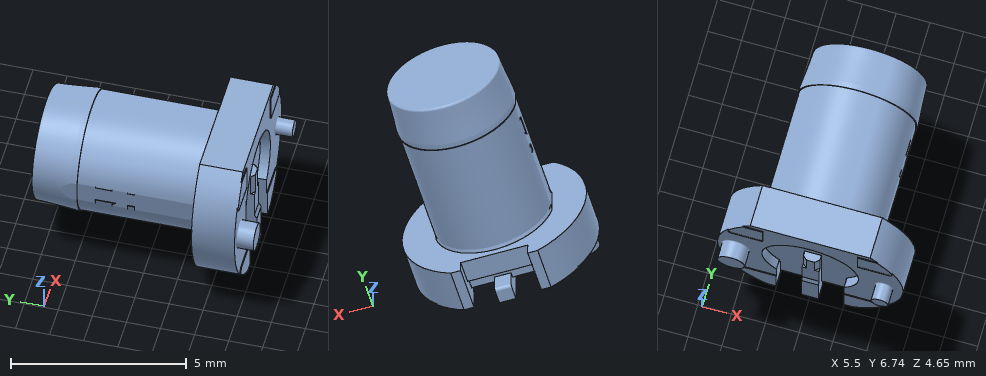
import cadquery as cq
import math


TOTAL_LENGTH = 6.74
TOTAL_HEIGHT = 4.65

FLANGE_RADIUS = 2.75
FLANGE_THICKNESS = 1.27
FLANGE_TOP = 2.1
FLANGE_BOTTOM = -2.425

RECESS_RADIUS = 1.43
RECESS_DEPTH = 0.295
SLOT_HALF_WIDTH = 1.0
SLOT_FLOOR_BOTTOM = -1.89
SLOT_LEDGE_BOTTOM = -2.0
LEDGE_DEPTH = 0.605
GAP_WIDTH = 0.03
GAP_TOP = -1.19

PAD_HEIGHT = 0.03
PAD_CORNER = 0.12
UPPER_PAD_INNER = 1.4
UPPER_PAD_OUTER = 2.425
UPPER_PAD_TOP = 1.9
UPPER_PAD_BOTTOM = 1.105
LOWER_PAD_OUTER = 2.11
LOWER_PAD_TOP = -1.55

PIN_OFFSET = 2.2
PIN_LENGTH = 0.51
LARGE_PIN_DIAMETER = 0.81
SMALL_PIN_DIAMETER = 0.505
PIN_FILLET = 0.04

BARREL_END = TOTAL_LENGTH - PIN_LENGTH
BARREL_RADIUS = 1.75
BASE_RADIUS = 1.78
BASE_LENGTH = 0.095
HEAD_RADIUS = 1.78
HEAD_MID_RADIUS = 1.725
HEAD_END_RADIUS = 1.69
HEAD_LENGTH = 1.355
HEAD_TAPER_LENGTH = 1.19
END_ROUND = 0.08

FLAT_HALF_WIDTH = 0.325
BARREL_FLAT_OFFSET = math.sqrt(BARREL_RADIUS**2 - FLAT_HALF_WIDTH**2)
HEAD_FLAT_OFFSET = math.sqrt(HEAD_RADIUS**2 - FLAT_HALF_WIDTH**2)
CUT_MARGIN = 0.07
FLAT_CUT_OUTER = HEAD_RADIUS + CUT_MARGIN
LOWER_LUG_TOP = -0.18
UPPER_LUG_BOTTOM = 0.295
LONG_LUG_START = 3.855
LONG_LUG_END = 4.34
LONG_LUG_LIP = 0.1
LUG_LIP_BOTTOM = -0.255
SHORT_LUG_START = 3.19
SHORT_LUG_END = 3.4

TAIL_WIDTH = 0.5
TAIL_TOP = 0.32
TAIL_BOTTOM = FLANGE_TOP - TOTAL_HEIGHT
TAIL_UPPER_FRONT = 0.05
TAIL_STEP_TOP = -1.22
TAIL_STEP_BOTTOM = -1.34
TAIL_BACK = 0.45
TAIL_HEEL_RADIUS = 0.11
TAIL_CHAMFER_WIDTH = 0.13
TAIL_CHAMFER_DEPTH = 0.11
TAIL_CHAMFER_END = -0.38


def block(x_range, y_range, z_range):
    """Axis-aligned box given by its lower and upper limits."""
    (x0, x1), (y0, y1), (z0, z1) = x_range, y_range, z_range
    return cq.Workplane("XY").box(x1 - x0, y1 - y0, z1 - z0, centered=False).translate((x0, y0, z0))


def cylinder(radius, y_range, x=0.0):
    """Cylinder along Y, centred on Z = 0."""
    start, end = y_range
    return cq.Workplane("XZ", origin=(x, start, 0)).circle(radius).extrude(start - end)


def both_sides(body):
    """The body together with its mirror image across X = 0."""
    return body.union(body.mirror("YZ"))


def clipped_disc(y_range):
    limits = block((-FLANGE_RADIUS, FLANGE_RADIUS), y_range, (FLANGE_BOTTOM, FLANGE_TOP))
    return cylinder(FLANGE_RADIUS, y_range).intersect(limits)


def flange():
    body = clipped_disc((0, FLANGE_THICKNESS))
    slot = (-SLOT_HALF_WIDTH, SLOT_HALF_WIDTH)
    body = body.cut(cylinder(RECESS_RADIUS, (0, RECESS_DEPTH)))
    body = body.cut(block(slot, (0, RECESS_DEPTH), (FLANGE_BOTTOM, 0)))
    body = body.cut(block(slot, (0, LEDGE_DEPTH), (FLANGE_BOTTOM, SLOT_FLOOR_BOTTOM)))
    body = body.cut(block(slot, (0, FLANGE_THICKNESS), (FLANGE_BOTTOM, SLOT_LEDGE_BOTTOM)))
    gap = block(
        (SLOT_HALF_WIDTH - GAP_WIDTH, SLOT_HALF_WIDTH),
        (0, LEDGE_DEPTH),
        (FLANGE_BOTTOM, GAP_TOP),
    )
    return body.cut(both_sides(gap))


def pads():
    height = (-PAD_HEIGHT, 0)
    upper = block((UPPER_PAD_INNER, UPPER_PAD_OUTER), height, (UPPER_PAD_BOTTOM, UPPER_PAD_TOP))
    upper = upper.edges("|Y and >X and <Z").fillet(PAD_CORNER)
    lower = block((SLOT_HALF_WIDTH, LOWER_PAD_OUTER), height, (FLANGE_BOTTOM, LOWER_PAD_TOP))
    lower = lower.edges("|Y and >X and >Z").fillet(PAD_CORNER)
    return both_sides(upper.union(lower)).intersect(clipped_disc(height))


def pin(diameter, x):
    """Pin with a concave fillet where it meets the mounting face."""
    radius = diameter / 2
    diagonal = PIN_FILLET * (1 - math.sqrt(0.5))
    profile = (
        cq.Workplane("XY")
        .lineTo(radius + PIN_FILLET, 0)
        .threePointArc((radius + diagonal, -diagonal), (radius, -PIN_FILLET))
        .lineTo(radius, -PIN_LENGTH)
        .lineTo(0, -PIN_LENGTH)
        .close()
    )
    return profile.revolve(360, (0, 0, 0), (0, 1, 0)).translate((x, 0, 0))


def barrel():
    taper_start = BARREL_END - HEAD_TAPER_LENGTH
    taper_mid = BARREL_END - HEAD_TAPER_LENGTH / 2
    base_end = FLANGE_THICKNESS + BASE_LENGTH
    head_start = BARREL_END - HEAD_LENGTH
    profile = (
        cq.Workplane("XY")
        .moveTo(0, FLANGE_THICKNESS)
        .lineTo(BASE_RADIUS, FLANGE_THICKNESS)
        .lineTo(BARREL_RADIUS, base_end)
        .lineTo(BARREL_RADIUS, head_start)
        .lineTo(HEAD_RADIUS, head_start)
        .lineTo(HEAD_RADIUS, taper_start)
        .threePointArc((HEAD_MID_RADIUS, taper_mid), (HEAD_END_RADIUS, BARREL_END))
        .lineTo(0, BARREL_END)
        .close()
    )
    body = profile.revolve(360, (0, 0, 0), (0, 1, 0))
    return body.faces(">Y").edges().fillet(END_ROUND)


def side_flat():
    """Material to remove for the flats on the +X side, spared around the lugs."""
    head_start = BARREL_END - HEAD_LENGTH
    depth = (BARREL_FLAT_OFFSET, FLAT_CUT_OUTER)
    full_height = (-BARREL_RADIUS, BARREL_RADIUS)
    flat = block(depth, (FLANGE_THICKNESS, head_start), full_height)
    for lug in ((LONG_LUG_START, LONG_LUG_END), (SHORT_LUG_START, SHORT_LUG_END)):
        flat = flat.cut(block(depth, lug, (-BARREL_RADIUS, LOWER_LUG_TOP)))
        flat = flat.cut(block(depth, lug, (UPPER_LUG_BOTTOM, BARREL_RADIUS)))
    lip = (
        cq.Workplane("YZ", origin=(BARREL_FLAT_OFFSET, 0, 0))
        .moveTo(LONG_LUG_START, LUG_LIP_BOTTOM)
        .lineTo(LONG_LUG_START, LOWER_LUG_TOP)
        .lineTo(LONG_LUG_START - LONG_LUG_LIP, LOWER_LUG_TOP)
        .close()
        .extrude(FLAT_CUT_OUTER - BARREL_FLAT_OFFSET)
    )
    head_flat = block((HEAD_FLAT_OFFSET, FLAT_CUT_OUTER), (head_start, BARREL_END), full_height)
    return flat.cut(lip).union(head_flat)


def tail():
    half_width = TAIL_WIDTH / 2
    heel_chord = TAIL_HEEL_RADIUS * (1 - math.sqrt(0.5))
    side = (
        cq.Workplane("YZ", origin=(-half_width, 0, 0))
        .moveTo(RECESS_DEPTH, TAIL_TOP)
        .lineTo(TAIL_UPPER_FRONT, TAIL_TOP)
        .lineTo(TAIL_UPPER_FRONT, TAIL_STEP_TOP)
        .lineTo(-PAD_HEIGHT, TAIL_STEP_BOTTOM)
        .lineTo(-PAD_HEIGHT, TAIL_BOTTOM)
        .lineTo(TAIL_BACK - TAIL_HEEL_RADIUS, TAIL_BOTTOM)
        .threePointArc(
            (TAIL_BACK - heel_chord, TAIL_BOTTOM + heel_chord),
            (TAIL_BACK, TAIL_BOTTOM + TAIL_HEEL_RADIUS),
        )
        .lineTo(TAIL_BACK, SLOT_FLOOR_BOTTOM)
        .lineTo(RECESS_DEPTH, SLOT_FLOOR_BOTTOM)
        .close()
        .extrude(TAIL_WIDTH)
    )
    corner = (
        cq.Workplane("XY", origin=(0, 0, TAIL_CHAMFER_END))
        .moveTo(half_width, TAIL_UPPER_FRONT)
        .lineTo(half_width, TAIL_UPPER_FRONT + TAIL_CHAMFER_DEPTH)
        .lineTo(half_width - TAIL_CHAMFER_WIDTH, TAIL_UPPER_FRONT)
        .close()
        .extrude(TAIL_TOP - TAIL_CHAMFER_END)
    )
    return side.cut(both_sides(corner))


result = (
    barrel()
    .cut(both_sides(side_flat()))
    .union(flange())
    .union(pads())
    .union(pin(LARGE_PIN_DIAMETER, -PIN_OFFSET))
    .union(pin(SMALL_PIN_DIAMETER, PIN_OFFSET))
    .union(tail())
)